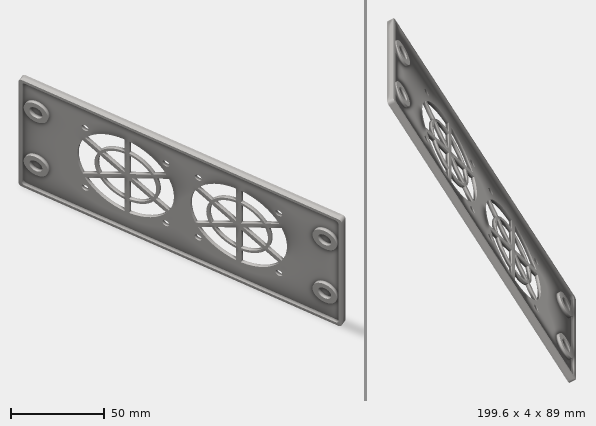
import cadquery as cq

length = 199.6
height = 89.0
thickness = 4.0
corner_radius = 2.0
rim_width = 2.0
recess_depth = 2.0
front_y = -thickness / 2
floor_y = front_y + recess_depth

fan_offset = 35.0
fan_diameter = 59.9
screw_hole_diameter = 4.4
screw_spacing = 49.9

spoke_width = 3.0
spoke_angles = (30, 90, 150)
ring_outer_diameter = 40.0
ring_width = 1.8
left_guard_shift = 0.8

boss_diameter = 15.0
boss_hole_diameter = 8.2
boss_hole_depth = 2.2
boss_spacing_x = 178.5
boss_spacing_z = 44.5


def plane_at(y):
    """XZ plane at the given Y, extruding toward +Y; local x is X and local y is -Z."""
    return cq.Workplane(cq.Plane(origin=(0, y, 0), xDir=(1, 0, 0), normal=(0, 1, 0)))


def rounded_slab(y, size_x, size_z, depth):
    return plane_at(y).rect(size_x, size_z).extrude(depth).edges("|Y").fillet(corner_radius)


def tray():
    plate = rounded_slab(front_y, length, height, thickness)
    recess = rounded_slab(front_y, length - 2 * rim_width, height - 2 * rim_width, recess_depth)
    return plate.cut(recess)


def finger_guard(x):
    """Three crossing bars and a concentric ring, as thick as the tray floor."""
    floor_thickness = thickness - recess_depth
    center = plane_at(floor_y).center(x, 0)
    guard = (
        center.circle(ring_outer_diameter / 2)
        .circle(ring_outer_diameter / 2 - ring_width)
        .extrude(floor_thickness)
    )
    for angle in spoke_angles:
        spoke = center.transformed(rotate=(0, 0, angle)).rect(fan_diameter + spoke_width, spoke_width)
        guard = guard.union(spoke.extrude(floor_thickness))
    return guard


def add_fan(body, x, guard_x):
    center = plane_at(front_y).center(x, 0)
    opening = center.circle(fan_diameter / 2).extrude(thickness)
    screw_holes = (
        center.rect(screw_spacing, screw_spacing, forConstruction=True)
        .vertices()
        .circle(screw_hole_diameter / 2)
        .extrude(thickness)
    )
    return body.cut(opening).cut(screw_holes).union(finger_guard(guard_x))


def boss_cylinders(diameter, depth):
    corners = plane_at(front_y).rect(boss_spacing_x, boss_spacing_z, forConstruction=True).vertices()
    return corners.circle(diameter / 2).extrude(depth)


result = tray()
result = add_fan(result, -fan_offset, -fan_offset + left_guard_shift)
result = add_fan(result, fan_offset, fan_offset)
result = result.union(boss_cylinders(boss_diameter, recess_depth))
result = result.cut(boss_cylinders(boss_hole_diameter, boss_hole_depth))